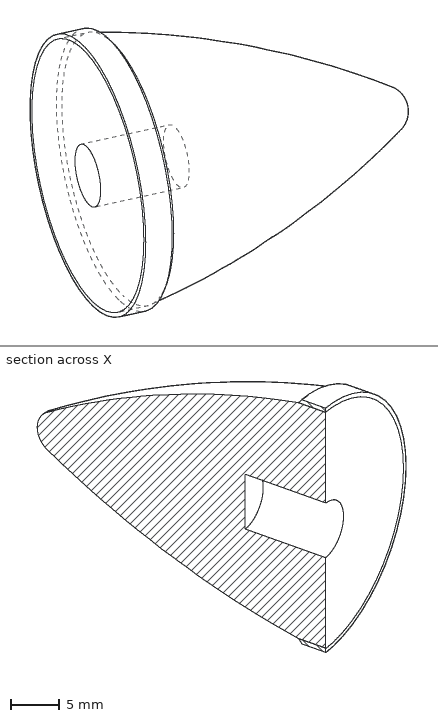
import cadquery as cq

length = 35.98

ring_radius = 30.0 / 2
ring_side_height = 3.0
ring_flare_height = 0.4
ring_height = ring_side_height + ring_flare_height

nose_radius = 29.0 / 2
flank_mid_radius = 9.93
flank_mid_y = 19.32
tip_edge_radius = 2.2
tip_edge_y = 34.9

bore_radius = 6.65 / 2
bore_depth = 10.0


def revolve_about_y(profile):
    """Turn a closed half profile in the XY plane into a full solid."""
    return profile.revolve(360, (0, 0, 0), (0, 1, 0))


def make_nose():
    """Pointed nose with a spherical tip and a blind bore in its base."""
    tip_height = length - tip_edge_y
    tip_sphere_radius = (tip_edge_radius**2 + tip_height**2) / (2 * tip_height)
    tip_mid_radius = tip_edge_radius / 2
    tip_center_y = length - tip_sphere_radius
    tip_mid_y = tip_center_y + (tip_sphere_radius**2 - tip_mid_radius**2) ** 0.5

    body = revolve_about_y(
        cq.Workplane("XY")
        .lineTo(nose_radius, 0)
        .lineTo(nose_radius, ring_height)
        .threePointArc((flank_mid_radius, flank_mid_y), (tip_edge_radius, tip_edge_y))
        .threePointArc((tip_mid_radius, tip_mid_y), (0, length))
        .close()
    )
    bore = cq.Workplane("XZ").circle(bore_radius).extrude(-bore_depth)
    return body.cut(bore)


def make_ring():
    """Thin ring around the nose base, its upper edge sloping in to meet the flank."""
    return revolve_about_y(
        cq.Workplane("XY")
        .moveTo(nose_radius, 0)
        .lineTo(ring_radius, 0)
        .lineTo(ring_radius, ring_side_height)
        .lineTo(nose_radius, ring_height)
        .close()
    )


nose = make_nose()
ring = make_ring()

result = cq.Compound.makeCompound([nose.val(), ring.val()])